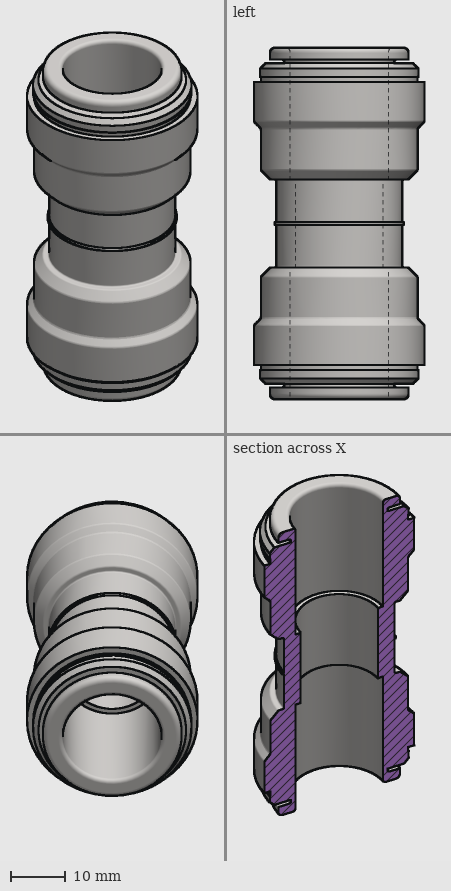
import cadquery as cq


half_length = 64.1 / 2

bore_radius = 16.0 / 2
socket_radius = 18.0 / 2
mouth_fillet = 0.75

flange_radius = 25.3 / 2
flange_height = 2.2
flange_outer_fillet = 1.0
flange_under_fillet = 0.1
sleeve_fillet = 0.4
sleeve_radius = 20.07 / 2
sleeve_gap = 0.65

collar_radius = 28.9 / 2
collar_height = 2.5
collar_chamfer = 1.0

body_radius = 28.6 / 2
groove_height = 0.9
body_chamfer = 1.7

cap_radius = 31.1 / 2
cap_height = 8.5

neck_radius = 23.0 / 2
neck_half_length = 8.0
bead_radius = 0.3

corner_fillet = 0.5
neck_fillet = 0.3

flange_bottom = half_length - flange_height
collar_top = flange_bottom - sleeve_gap
collar_bottom = collar_top - collar_height
cap_top = collar_bottom - groove_height
cap_bottom = cap_top - cap_height
cap_chamfer = cap_radius - body_radius
cap_edge = cap_bottom + cap_chamfer
body_bottom = neck_half_length
body_edge = body_bottom + body_chamfer
body_end_radius = body_radius - body_chamfer
socket_floor = body_bottom


def fillet_circle(solid, radius, level, fillet):
    """Round the circular edge of the given radius at the given height."""
    tolerance = 1e-4

    def is_match(edge):
        if edge.geomType() != "CIRCLE":
            return False
        same_level = abs(edge.Center().z - level) < tolerance
        return same_level and abs(edge.radius() - radius) < tolerance

    return solid.newObject(solid.edges().filter(is_match).vals()).fillet(fillet)


def sharp_half():
    """Upper half of the connector, before its corners are rounded."""
    outline = [
        (bore_radius, 0),
        (neck_radius, 0),
        (neck_radius, body_bottom),
        (body_end_radius, body_bottom),
        (body_radius, body_edge),
        (body_radius, cap_bottom),
        (cap_radius, cap_edge),
        (cap_radius, cap_top),
        (body_radius, cap_top),
        (body_radius, collar_bottom),
        (collar_radius, collar_bottom),
        (collar_radius, collar_top - collar_chamfer),
        (collar_radius - collar_chamfer, collar_top),
        (sleeve_radius, collar_top),
        (sleeve_radius, flange_bottom),
        (flange_radius, flange_bottom),
        (flange_radius, half_length),
        (socket_radius, half_length),
        (socket_radius, socket_floor),
        (bore_radius, socket_floor),
    ]
    return cq.Workplane("XZ").polyline(outline).close().revolve(360, (0, 0), (0, 1))


def rounded_half():
    """Upper half of the connector with its corners rounded."""
    roundings = [
        (socket_radius, half_length, mouth_fillet),
        (flange_radius, half_length, flange_outer_fillet),
        (flange_radius, flange_bottom, flange_under_fillet),
        (sleeve_radius, flange_bottom, sleeve_fillet),
        (cap_radius, cap_edge, corner_fillet),
        (body_radius, cap_bottom, corner_fillet),
        (body_radius, body_edge, corner_fillet),
        (body_end_radius, body_bottom, corner_fillet),
        (neck_radius, body_bottom, neck_fillet),
    ]
    half = sharp_half()
    for radius, level, fillet in roundings:
        half = fillet_circle(half, radius, level, fillet)
    return half


def centre_bead():
    """Half-round bead standing out from the middle of the neck."""
    wall_middle = (bore_radius + neck_radius) / 2
    return (
        cq.Workplane("XZ")
        .moveTo(wall_middle, -bead_radius)
        .lineTo(neck_radius, -bead_radius)
        .threePointArc((neck_radius + bead_radius, 0), (neck_radius, bead_radius))
        .lineTo(wall_middle, bead_radius)
        .close()
        .revolve(360, (0, 0), (0, 1))
    )


upper_half = rounded_half()
lower_half = upper_half.mirror("XY")
result = upper_half.union(lower_half).union(centre_bead())